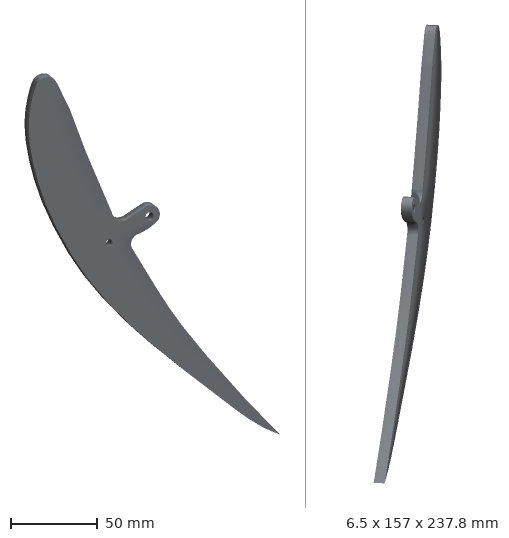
import cadquery as cq

thickness = 6.5
length = 237.8
width = 157.0

lug_hole_center = (81.5, 144.0)
lug_hole_diameter = 5.0
blade_hole_center = (106.8, 131.2)
blade_hole_diameter = 4.0

tip = (0, 0)
crown = (145.5, length)
rear_edge_lower = [(13.8, 15.2), (37.5, 43.7), (55.5, 66.5), (71.0, 89.5), (84.6, 112.5), (92.0, 125.3)]
rear_edge_upper = [(105.0, 149.5), (115.8, 175.2), (124.8, 198.0), (133.2, 220.5), (138.5, 231.0), crown]
front_edge = [
    (153.4, 230.6), (width, 209.2), (154.3, 187.0), (148.0, 164.0), (138.0, 141.2), (125.0, 118.5),
    (108.0, 95.3), (87.0, 72.5), (62.8, 49.7), (36.9, 26.9), (15.5, 9.0), tip,
]
crown_direction = (1, 0)

lower_root_middle = (93.0, 130.0)
lower_root_end = (88.0, 134.3)
lug_underside = (80.4, 138.0)
lug_round_start = (76.5, 140.8)
lug_round_middle = (75.5, 147.0)
lug_round_end = (83.2, 150.5)
upper_root_start = (95.0, 144.3)
upper_root_middle = (101.0, 144.3)


def blade_profile():
    """Closed outline of the blade and its lug."""
    return (
        cq.Workplane("YZ")
        .moveTo(*tip)
        .spline(rear_edge_lower, includeCurrent=True)
        .threePointArc(lower_root_middle, lower_root_end)
        .threePointArc(lug_underside, lug_round_start)
        .threePointArc(lug_round_middle, lug_round_end)
        .lineTo(*upper_root_start)
        .threePointArc(upper_root_middle, rear_edge_upper[0])
        .spline(
            rear_edge_upper[1:],
            tangents=[None] * (len(rear_edge_upper) - 1) + [crown_direction],
            includeCurrent=True,
        )
        .spline(
            front_edge,
            tangents=[crown_direction] + [None] * len(front_edge),
            includeCurrent=True,
        )
        .close()
    )


def through_hole(center, diameter):
    """Cylinder that cuts a hole through the blade thickness."""
    return cq.Workplane("YZ").center(*center).circle(diameter / 2).extrude(thickness)


blade = blade_profile().extrude(thickness)
blade = blade.cut(through_hole(lug_hole_center, lug_hole_diameter))
blade = blade.cut(through_hole(blade_hole_center, blade_hole_diameter))

result = blade.mirror("XZ")